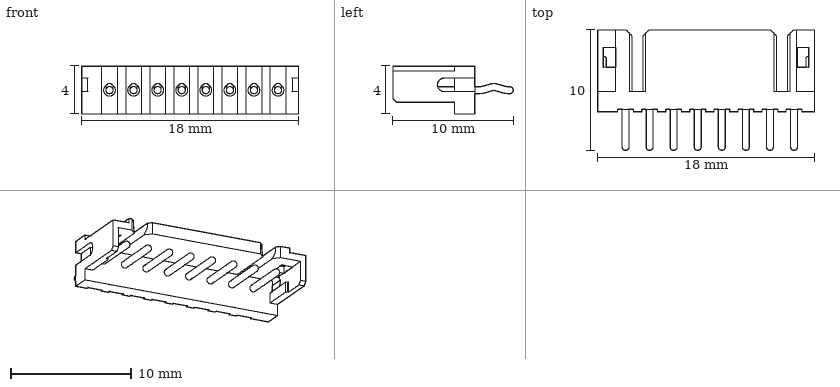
import cadquery as cq
import math


length = 18.0
height = 4.0
housing_depth = 6.8
top_z = height / 2
bottom_z = -height / 2
half_length = length / 2

rear_wall = 1.7
shroud_height = 3.0
shroud_bottom_z = top_z - shroud_height
roof_thickness = 1.0
side_wall = 0.5
side_chamfer = 0.3

shoulder_width = 1.5
shoulder_drop = 0.4

window_edge = 0.45
window_rear = 3.7
window_length = 1.62

slot_from_row_middle = 6.0
slot_width = 1.3
slot_land = 0.4
slot_inset = 0.2
slot_chamfer = 0.5

notch_top = 1.0
notch_height = 1.1
notch_length = 3.1
notch_roof_z = top_z - notch_top
notch_floor_z = notch_roof_z - notch_height

rail_width = 0.22
rail_top_z = notch_floor_z
rail_end = 4.6
rail_chamfer = 0.15

pin_count = 8
pin_pitch = 2.0
row_middle_x = 0.3
pin_diameter = 0.6
pin_radius = pin_diameter / 2
pin_front_y = 6.2
pin_rear_y = -3.2
bend_start = 0.4
bend_half_span = 1.19
bend_angle = 16.0
outer_bend_radius = 1.26
middle_bend_radius = 0.4
pin_xs = [row_middle_x + (i - (pin_count - 1) / 2) * pin_pitch for i in range(pin_count)]

groove_width = 1.3
groove_depth = 0.2
countersink_radius = 0.49
countersink_depth = 0.2


def box(x_range, y_range, z_range):
    """Box between three pairs of limits."""
    (x0, x1), (y0, y1), (z0, z1) = x_range, y_range, z_range
    return cq.Workplane("XY").box(x1 - x0, y1 - y0, z1 - z0, centered=False).translate((x0, y0, z0))


def both_ends(left):
    """The left-hand feature together with its mirror image at the right."""
    return left.union(left.mirror("YZ"))


def housing_block():
    """Stepped side profile, hollowed out in front of the rear wall."""
    profile = (
        cq.Workplane("YZ")
        .moveTo(0, bottom_z)
        .lineTo(rear_wall, bottom_z)
        .lineTo(rear_wall, shroud_bottom_z)
        .lineTo(housing_depth - side_chamfer, shroud_bottom_z)
        .lineTo(housing_depth, shroud_bottom_z + side_chamfer)
        .lineTo(housing_depth, top_z)
        .lineTo(0, top_z)
        .close()
        .extrude(half_length, both=True)
    )
    inner = half_length - side_wall
    cavity = box((-inner, inner), (rear_wall, housing_depth), (shroud_bottom_z, top_z - roof_thickness))
    return profile.cut(cavity)


def shoulder_cut():
    """Step in the roof at the left end."""
    return box(
        (-half_length, shoulder_width - half_length),
        (rear_wall, housing_depth),
        (top_z - shoulder_drop, top_z),
    )


def window_cut():
    """Rectangular opening through the roof at the left end."""
    return box(
        (window_edge - half_length, shoulder_width - half_length),
        (window_rear, window_rear + window_length),
        (top_z - roof_thickness, top_z),
    )


def slot_cut(middle_x):
    """Roof slot with upright upper sides, tapering lower sides and a chamfered mouth."""
    left = middle_x - slot_width / 2
    right = middle_x + slot_width / 2
    land_z = top_z - slot_land
    roof_bottom_z = top_z - roof_thickness
    slot = (
        cq.Workplane("XZ", origin=(0, rear_wall, 0))
        .polyline(
            [
                (left, top_z),
                (right, top_z),
                (right, land_z),
                (right - slot_inset, roof_bottom_z),
                (left + slot_inset, roof_bottom_z),
                (left, land_z),
            ]
        )
        .close()
        .extrude(rear_wall - housing_depth)
    )
    neck_left = left + slot_inset
    neck_right = right - slot_inset
    mouth = (
        cq.Workplane("XY", origin=(0, 0, roof_bottom_z))
        .polyline(
            [
                (neck_left, housing_depth - slot_chamfer),
                (neck_right, housing_depth - slot_chamfer),
                (neck_right + slot_chamfer, housing_depth),
                (neck_left - slot_chamfer, housing_depth),
            ]
        )
        .close()
        .extrude(roof_thickness)
    )
    return slot.union(mouth)


def rail():
    """Ledge along the inside of the left end wall, with a chamfered front corner."""
    inner = side_wall + rail_width - half_length
    return (
        cq.Workplane("XY", origin=(0, 0, shroud_bottom_z))
        .polyline(
            [
                (side_wall - half_length, rear_wall),
                (inner, rear_wall),
                (inner, rail_end - rail_chamfer),
                (inner - rail_chamfer, rail_end),
                (side_wall - half_length, rail_end),
            ]
        )
        .close()
        .extrude(rail_top_z - shroud_bottom_z)
    )


def notch_cut():
    """Notch in the left end, as deep as the end wall is thick."""
    radius = notch_height / 2
    return (
        cq.Workplane("YZ", origin=(-half_length, 0, 0))
        .moveTo(0, notch_floor_z)
        .lineTo(notch_length - radius, notch_floor_z)
        .threePointArc((notch_length, notch_floor_z + radius), (notch_length - radius, notch_roof_z))
        .lineTo(0, notch_roof_z)
        .close()
        .extrude(side_wall)
    )


def pin_relief(x):
    """Upright groove and 45 degree countersink behind one pin."""
    groove = box(
        (x - groove_width / 2, x + groove_width / 2),
        (0, groove_depth),
        (bottom_z, top_z),
    )
    countersink = cq.Workplane("XY").add(
        cq.Solid.makeCone(
            countersink_radius,
            countersink_radius - countersink_depth,
            countersink_depth,
            pnt=cq.Vector(x, groove_depth, 0),
            dir=cq.Vector(0, 1, 0),
        )
    )
    return groove.union(countersink)


def pin():
    """Round wire with a raised kink behind the housing and domed ends."""
    angle = math.radians(bend_angle)
    sine = math.sin(angle)
    cosine = math.cos(angle)
    half_sine = math.sin(angle / 2)
    half_cosine = math.cos(angle / 2)
    slope = (bend_half_span - (outer_bend_radius + middle_bend_radius) * sine) / cosine
    rise = (outer_bend_radius + middle_bend_radius) * (1 - cosine) + slope * sine
    peak_y = -bend_start - bend_half_span

    outer_mid = (outer_bend_radius * half_sine, outer_bend_radius * (1 - half_cosine))
    outer_end = (outer_bend_radius * sine, outer_bend_radius * (1 - cosine))
    middle_end = (middle_bend_radius * sine, rise - middle_bend_radius * (1 - cosine))
    kink_end_y = peak_y - bend_half_span
    front_y = pin_front_y - pin_radius
    rear_y = pin_rear_y + pin_radius

    path = (
        cq.Workplane("YZ")
        .moveTo(front_y, 0)
        .lineTo(-bend_start, 0)
        .threePointArc((-bend_start - outer_mid[0], outer_mid[1]), (-bend_start - outer_end[0], outer_end[1]))
        .lineTo(peak_y + middle_end[0], middle_end[1])
        .threePointArc((peak_y, rise), (peak_y - middle_end[0], middle_end[1]))
        .lineTo(kink_end_y + outer_end[0], outer_end[1])
        .threePointArc((kink_end_y + outer_mid[0], outer_mid[1]), (kink_end_y, 0))
        .lineTo(rear_y, 0)
    )
    wire = cq.Workplane("XZ", origin=(0, front_y, 0)).circle(pin_radius).sweep(path)
    for end_y in (front_y, rear_y):
        wire = wire.union(cq.Workplane("XY", origin=(0, end_y, 0)).sphere(pin_radius))
    return wire


housing = housing_block().union(both_ends(rail()))
for end_cut in (shoulder_cut(), window_cut(), notch_cut()):
    housing = housing.cut(both_ends(end_cut))
for offset in (-slot_from_row_middle, slot_from_row_middle):
    housing = housing.cut(slot_cut(row_middle_x + offset))
for pin_x in pin_xs:
    housing = housing.cut(pin_relief(pin_x))

result = housing
straight_pin = pin()
for pin_x in pin_xs:
    result = result.union(straight_pin.translate((pin_x, 0, 0)))